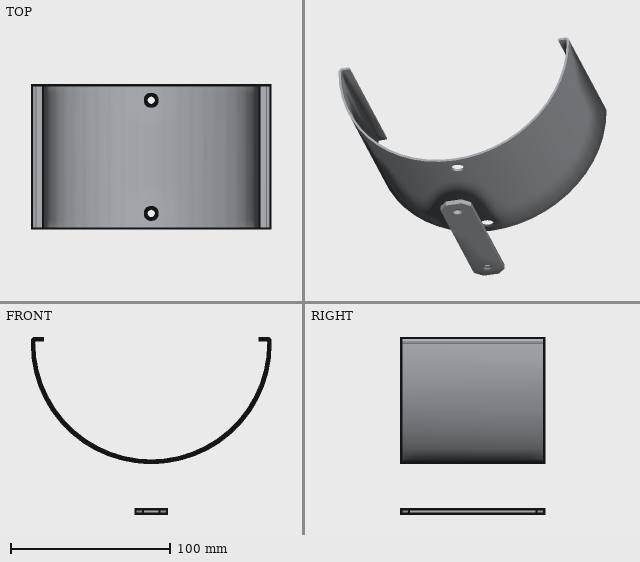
import cadquery as cq

LENGTH = 90.0
HOLE_END_DISTANCE = 9.5
HOLE_SPACING = LENGTH - 2 * HOLE_END_DISTANCE

OUTER_RADIUS = 75.0
SHEET = 1.5
INNER_RADIUS = OUTER_RADIUS - SHEET
STRAIGHT_HEIGHT = 1.0
BEND_INNER_RADIUS = 1.0
BEND_OUTER_RADIUS = BEND_INNER_RADIUS + SHEET
LIP_REACH = 7.0
SADDLE_HOLE_DIAMETER = 8.0

PLATE_WIDTH = 20.0
PLATE_THICKNESS = 3.0
PLATE_CHAMFER = 5.0
PLATE_HOLE_DIAMETER = 6.0
PLATE_GAP = 29.0
PLATE_TOP = -OUTER_RADIUS - PLATE_GAP


def hole_pair(diameter, bottom, height):
    """Two vertical cylinders spaced along Y, used to cut the screw holes."""
    return (
        cq.Workplane("XY", origin=(0, 0, bottom))
        .rarray(1.5, HOLE_SPACING, 1, 2)
        .circle(diameter / 2)
        .extrude(height)
    )


def make_saddle():
    """Half-round sheet with a short straight wall and a bent lip on each side."""
    lip_top = STRAIGHT_HEIGHT + BEND_OUTER_RADIUS
    lip_end = OUTER_RADIUS - LIP_REACH
    bend_start = OUTER_RADIUS - BEND_OUTER_RADIUS
    sheet = (
        cq.Workplane("XZ")
        .moveTo(-OUTER_RADIUS, 0)
        .threePointArc((0, -OUTER_RADIUS), (OUTER_RADIUS, 0))
        .lineTo(OUTER_RADIUS, STRAIGHT_HEIGHT)
        .radiusArc((bend_start, lip_top), -BEND_OUTER_RADIUS)
        .lineTo(lip_end, lip_top)
        .lineTo(lip_end, lip_top - SHEET)
        .lineTo(bend_start, lip_top - SHEET)
        .radiusArc((INNER_RADIUS, STRAIGHT_HEIGHT), BEND_INNER_RADIUS)
        .lineTo(INNER_RADIUS, 0)
        .threePointArc((0, -INNER_RADIUS), (-INNER_RADIUS, 0))
        .lineTo(-INNER_RADIUS, STRAIGHT_HEIGHT)
        .radiusArc((-bend_start, lip_top - SHEET), BEND_INNER_RADIUS)
        .lineTo(-lip_end, lip_top - SHEET)
        .lineTo(-lip_end, lip_top)
        .lineTo(-bend_start, lip_top)
        .radiusArc((-OUTER_RADIUS, STRAIGHT_HEIGHT), -BEND_OUTER_RADIUS)
        .close()
        .extrude(LENGTH / 2, both=True)
    )
    return sheet.cut(hole_pair(SADDLE_HOLE_DIAMETER, -OUTER_RADIUS, OUTER_RADIUS))


def make_plate():
    """Flat bar with four chamfered corners and two screw holes."""
    bottom = PLATE_TOP - PLATE_THICKNESS
    bar = (
        cq.Workplane("XY", origin=(0, 0, bottom))
        .rect(PLATE_WIDTH, LENGTH)
        .extrude(PLATE_THICKNESS)
        .edges("|Z")
        .chamfer(PLATE_CHAMFER)
    )
    return bar.cut(hole_pair(PLATE_HOLE_DIAMETER, bottom, PLATE_THICKNESS))


saddle = make_saddle().solids()
plate = make_plate().solids()

result = cq.Compound.makeCompound([saddle.val(), plate.val()])